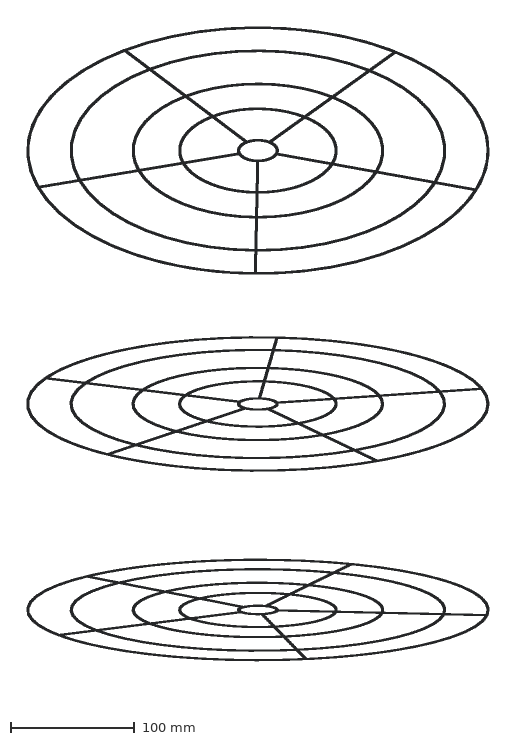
import cadquery as cq

thickness = 0.3
band_width = 1.2
spoke_width = 1.2
spoke_count = 5
first_spoke_angle = 90.0

hub_diameter = 30.0
rim_diameter = 370.0
ring_diameters = [hub_diameter, 125.0, 200.0, 300.0, rim_diameter]


def ring(inner_diameter):
    """Thin annular band with its underside on the XY plane."""
    inner_radius = inner_diameter / 2
    return (
        cq.Workplane("XY")
        .circle(inner_radius + band_width)
        .circle(inner_radius)
        .extrude(thickness)
    )


def spoke(angle):
    """Radial strip from the middle of the hub band to the middle of the rim band."""
    start = (hub_diameter + band_width) / 2
    end = (rim_diameter + band_width) / 2
    return (
        cq.Workplane("XY")
        .center((start + end) / 2, 0)
        .rect(end - start, spoke_width)
        .extrude(thickness)
        .rotate((0, 0, 0), (0, 0, 1), angle)
    )


result = ring(rim_diameter)
for index in range(spoke_count):
    result = result.union(spoke(first_spoke_angle + index * 360 / spoke_count))
for diameter in ring_diameters[:-1]:
    result = result.union(ring(diameter))